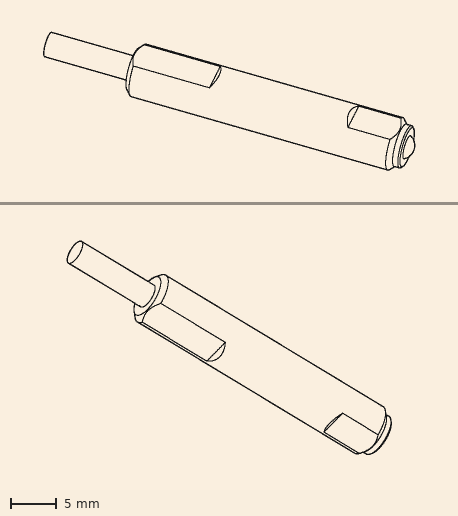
import cadquery as cq
import math

overall_length = 42.79
stem_length = 10.0
body_length = 31.2
collar_length = 0.8

stem_diameter = 2.8
body_diameter = 6.0
collar_diameter = 4.83
ball_diameter = 3.0

body_chamfer = (body_diameter - collar_diameter) / 2
collar_chamfer = 0.18

across_flats = 5.0
stem_side_flat_length = 10.0
ball_side_flat_length = 6.0

body_start = stem_length
body_end = body_start + body_length
ball_center = overall_length - ball_diameter / 2
flat_depth = (body_diameter - across_flats) / 2


def cylinder(start, length, diameter):
    """Solid cylinder on the X axis."""
    return cq.Workplane("YZ", origin=(start, 0, 0)).circle(diameter / 2).extrude(length)


def make_body():
    """Main barrel with both end edges chamfered."""
    return cylinder(body_start, body_length, body_diameter).edges().chamfer(body_chamfer)


def make_collar():
    """Ball seat collar beyond the body, with its outer end edge chamfered."""
    collar = cylinder(body_end, collar_length, collar_diameter)
    return collar.faces(">X").edges().chamfer(collar_chamfer)


def make_ball_tip():
    """Outward half of the ball, continued by a shank back to the body end."""
    ball_radius = ball_diameter / 2
    arc_offset = ball_radius * math.sqrt(0.5)
    return (
        cq.Workplane("XY")
        .moveTo(body_end, 0)
        .lineTo(overall_length, 0)
        .threePointArc((ball_center + arc_offset, arc_offset), (ball_center, ball_radius))
        .lineTo(body_end, ball_radius)
        .close()
        .revolve(360, (0, 0, 0), (1, 0, 0))
    )


def make_flat_cutter(body_face, flat_length, side):
    """Wedge-ended block that cuts one flat from a body end face inward.

    The inner end slopes at 45 degrees; side is +1 above the axis and -1 below it.
    """
    inward = 1 if body_face == body_start else -1
    flat_end = body_face + inward * (flat_length - flat_depth)
    slope_end = body_face + inward * flat_length
    return (
        cq.Workplane("XZ")
        .polyline([
            (body_face, side * across_flats / 2),
            (flat_end, side * across_flats / 2),
            (slope_end, side * body_diameter / 2),
            (body_face, side * body_diameter / 2),
        ])
        .close()
        .extrude(body_diameter / 2, both=True)
    )


body = make_body()
for side in (1, -1):
    body = body.cut(make_flat_cutter(body_start, stem_side_flat_length, side))
    body = body.cut(make_flat_cutter(body_end, ball_side_flat_length, side))

stem = cylinder(0, stem_length, stem_diameter)
result = body.union(stem).union(make_collar()).union(make_ball_tip())